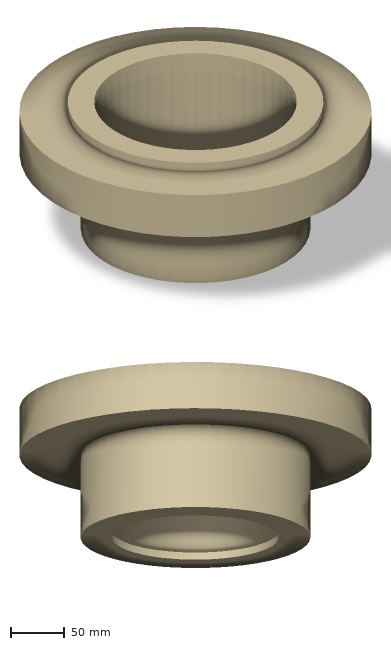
import cadquery as cq

total_height = 135.0
raised_face_height = 10.0
flange_thickness = 45.0
hub_height = total_height - raised_face_height - flange_thickness

flange_diameter = 330.0
raised_face_diameter = 239.5
hub_diameter = 215.0

bore_diameter = 189.8
lip_diameter = 156.0
lip_thickness = 7.0


def cylinder(diameter, height, base_z):
    """Solid cylinder on the Z axis, standing on base_z."""
    return cq.Workplane("XY").workplane(offset=base_z).circle(diameter / 2).extrude(height)


hub = cylinder(hub_diameter, hub_height, 0)
flange = cylinder(flange_diameter, flange_thickness, hub_height)
raised_face = cylinder(raised_face_diameter, raised_face_height, hub_height + flange_thickness)
body = hub.union(flange).union(raised_face)

bore = cylinder(bore_diameter, total_height - lip_thickness, lip_thickness)
lip_opening = cylinder(lip_diameter, total_height, 0)

result = body.cut(bore).cut(lip_opening)